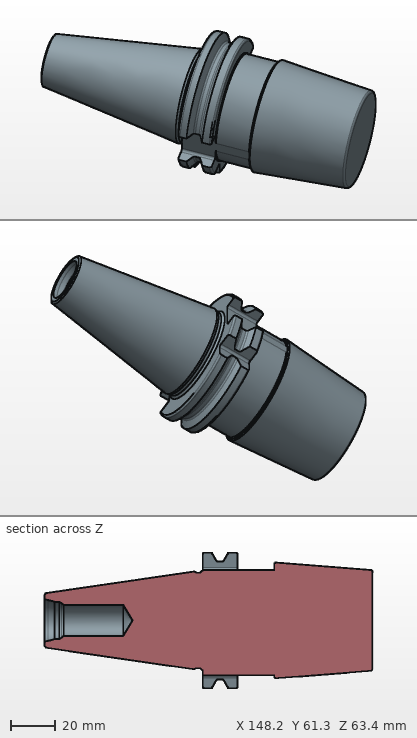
import cadquery as cq
import math

TOTAL_LENGTH = 148.2
GAUGE_X = 67.6
RELIEF_START_X = 68.8
RELIEF_END_X = 70.3
FLANGE_START_X = 71.5
FLANGE_END_X = 87.3
NOSE_START_X = 103.8

TAPER_END_RADIUS = 12.3
TAPER_SLOPE = 7 / 48
GAUGE_RADIUS = TAPER_END_RADIUS + TAPER_SLOPE * GAUGE_X
SHANK_CHAMFER_LENGTH = 0.6
SHANK_CHAMFER_DEPTH = 0.9
RELIEF_RADIUS = 21.6
FLANGE_ROOT_RADIUS = 22.7

FLANGE_RADIUS = 31.7
FLANGE_EDGE_FILLET = 0.9
GROOVE_BOTTOM_RADIUS = 27.9
GROOVE_CENTRE_X = 79.3
GROOVE_BOTTOM_WIDTH = 3.0
GROOVE_FLANK_ANGLE = 30.0
GROOVE_ROOT_FILLET = 1.0
GROOVE_OVERCUT = 1.5

SLOT_WIDTH = 16.2
SLOT_FLOOR_BACK = 22.8
SLOT_FLOOR_FRONT = 24.8
CUT_FILLET = 1.2
NOTCH_EDGE = 18.5

NECK_RADIUS = 24.9
NECK_FILLET = 0.5
NOSE_RADIUS = 26.2
NOSE_CONE_ANGLE = 4.5
NOSE_BACK_CHAMFER = 0.6
NOSE_FRONT_FILLET = 1.0

MOUTH_RADIUS = 9.5
CENTRE_RADIUS = 9.2
CENTRE_DEPTH = 1.6
PILOT_RADIUS = 8.6
PILOT_DEPTH = 4.0
THREAD_RADIUS = 8.3
THREAD_START_DEPTH = 4.6
THREAD_END_DEPTH = 6.8
SEAT_RADIUS = 7.9
SEAT_DEPTH = 7.5
CORE_RADIUS = 7.0
CORE_START_DEPTH = 8.7
CORE_END_DEPTH = 35.6
DRILL_POINT_ANGLE = 118.0


def revolve_about_x(points):
    """Revolve a closed outline of (x, radius) points about the X axis."""
    return cq.Workplane("XY").polyline(points).close().revolve(360, (0, 0, 0), (1, 0, 0))


def make_shank():
    return revolve_about_x([
        (0, 0),
        (0, TAPER_END_RADIUS - SHANK_CHAMFER_DEPTH),
        (SHANK_CHAMFER_LENGTH, TAPER_END_RADIUS + TAPER_SLOPE * SHANK_CHAMFER_LENGTH),
        (GAUGE_X, GAUGE_RADIUS),
        (RELIEF_START_X, RELIEF_RADIUS),
        (RELIEF_END_X, RELIEF_RADIUS),
        (FLANGE_START_X, FLANGE_ROOT_RADIUS),
        (FLANGE_START_X, 0),
    ])


def make_flange():
    width = FLANGE_END_X - FLANGE_START_X
    disc = cq.Workplane("YZ", origin=(FLANGE_START_X, 0, 0)).circle(FLANGE_RADIUS).extrude(width)
    disc = disc.edges().fillet(FLANGE_EDGE_FILLET)
    return disc.cut(make_groove())


def make_groove():
    """Ring with the V groove's section, its root corners rounded."""
    half_bottom = GROOVE_BOTTOM_WIDTH / 2
    outer_radius = FLANGE_RADIUS + GROOVE_OVERCUT
    flank_run = (outer_radius - GROOVE_BOTTOM_RADIUS) * math.tan(math.radians(GROOVE_FLANK_ANGLE))
    ring = revolve_about_x([
        (GROOVE_CENTRE_X - half_bottom, GROOVE_BOTTOM_RADIUS),
        (GROOVE_CENTRE_X + half_bottom, GROOVE_BOTTOM_RADIUS),
        (GROOVE_CENTRE_X + half_bottom + flank_run, outer_radius),
        (GROOVE_CENTRE_X - half_bottom - flank_run, outer_radius),
    ])
    root_edges = ring.edges(cq.selectors.RadiusNthSelector(0))
    return root_edges.fillet(GROOVE_ROOT_FILLET)


def make_neck():
    """Cylinder with a small concave fillet against the flange and against the nose."""
    start_fillet_x = FLANGE_END_X + NECK_FILLET
    end_fillet_x = NOSE_START_X - NECK_FILLET
    fillet_top = NECK_RADIUS + NECK_FILLET
    fillet_mid = NECK_FILLET * math.sqrt(0.5)
    outline = (
        cq.Workplane("XY")
        .moveTo(FLANGE_START_X, 0)
        .lineTo(FLANGE_START_X, fillet_top)
        .lineTo(FLANGE_END_X, fillet_top)
        .threePointArc((start_fillet_x - fillet_mid, fillet_top - fillet_mid), (start_fillet_x, NECK_RADIUS))
        .lineTo(end_fillet_x, NECK_RADIUS)
        .threePointArc((end_fillet_x + fillet_mid, fillet_top - fillet_mid), (NOSE_START_X, fillet_top))
        .lineTo(NOSE_START_X, 0)
        .close()
    )
    return outline.revolve(360, (0, 0, 0), (1, 0, 0))


def make_nose():
    cone_start_x = NOSE_START_X + NOSE_BACK_CHAMFER
    cone_drop = (TOTAL_LENGTH - cone_start_x) * math.tan(math.radians(NOSE_CONE_ANGLE))
    nose = revolve_about_x([
        (NOSE_START_X, 0),
        (NOSE_START_X, NOSE_RADIUS - NOSE_BACK_CHAMFER),
        (cone_start_x, NOSE_RADIUS),
        (TOTAL_LENGTH, NOSE_RADIUS - cone_drop),
        (TOTAL_LENGTH, 0),
    ])
    return nose.faces(">X").edges().fillet(NOSE_FRONT_FILLET)


def make_slot(side, floor):
    """Driving slot through the flange on one Y side (+1 or -1), rounded along its floor."""
    width = FLANGE_END_X - FLANGE_START_X
    slot = cq.Workplane("XY").box(width, FLANGE_RADIUS, SLOT_WIDTH, centered=(False, False, True))
    slot = slot.edges("|X and <Y").fillet(CUT_FILLET).translate((FLANGE_START_X, floor, 0))
    return slot if side > 0 else slot.mirror("XZ")


def make_neck_flat(side, floor):
    """Material to mill off the neck so that it is flush with a slot floor."""
    length = NOSE_START_X - FLANGE_END_X
    block = cq.Workplane("XY").box(length, NECK_RADIUS, 2 * FLANGE_RADIUS, centered=(False, False, True))
    block = block.translate((FLANGE_END_X, floor, 0))
    return block if side > 0 else block.mirror("XZ")


def make_notch():
    """Square corner notch through the flange in the -Y, -Z quarter."""
    width = FLANGE_END_X - FLANGE_START_X
    notch = cq.Workplane("XY").box(width, FLANGE_RADIUS, FLANGE_RADIUS, centered=False)
    notch = notch.edges("|X and <Y and <Z").fillet(CUT_FILLET)
    notch = notch.translate((FLANGE_START_X, NOTCH_EDGE, NOTCH_EDGE))
    return notch.rotate((0, 0, 0), (1, 0, 0), 180)


def make_bore():
    point_depth = CORE_RADIUS / math.tan(math.radians(DRILL_POINT_ANGLE / 2))
    return revolve_about_x([
        (0, 0),
        (0, MOUTH_RADIUS),
        (CENTRE_DEPTH, CENTRE_RADIUS),
        (PILOT_DEPTH, PILOT_RADIUS),
        (THREAD_START_DEPTH, THREAD_RADIUS),
        (THREAD_END_DEPTH, THREAD_RADIUS),
        (SEAT_DEPTH, SEAT_RADIUS),
        (CORE_START_DEPTH, CORE_RADIUS),
        (CORE_END_DEPTH, CORE_RADIUS),
        (CORE_END_DEPTH + point_depth, 0),
    ])


body = make_flange().union(make_neck())
for side, floor in ((1, SLOT_FLOOR_BACK), (-1, SLOT_FLOOR_FRONT)):
    body = body.cut(make_slot(side, floor)).cut(make_neck_flat(side, floor))
body = body.cut(make_notch())

result = make_shank().union(body).union(make_nose()).cut(make_bore())